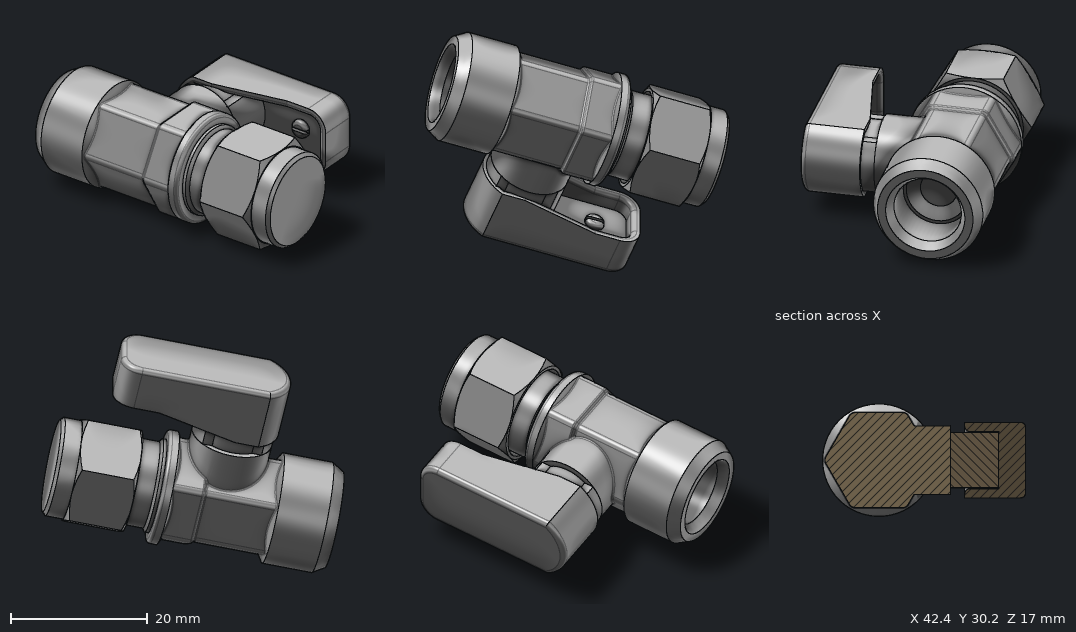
import cadquery as cq
import math


MARGIN = 0.005

collar_radius = 8.25
collar_face_radius = 7.2
collar_chamfer_length = 1.8
collar_end = 9.2
collar_cone_length = 0.8
small_hex_flats = 14.0
large_hex_flats = 15.0
small_hex_corner_radius = 1.0
large_hex_corner_radius = 1.1
hex_step_start = 20.05
hex_step_length = 0.42
hex_step_fillet = 0.3
flange_radius = 8.495
flange_start = 25.0
flange_cone_length = 0.55
flange_round = 0.5
body_end = 26.52
root_fillet = 0.25
cone_root_fillet = 0.2

bore_mouth_radius = 5.97
bore_mouth_depth = 1.53
bore_radius = 5.1
bore_depth = 7.35
seat_radius = 4.6
seat_floor_radius = 2.75
seat_cone_length = 1.1

stem_x = 17.55
boss_radius = 6.0
boss_top = 10.5
stop_radius = 5.05
stop_ear_half_width = 4.05

handle_top = 21.52
handle_half_width = 5.55
handle_hub_radius = 6.55
handle_hub_bottom = 12.55
handle_tip_bottom = 15.0
handle_slope_end = 29.45
handle_tip_x = 36.45
handle_corner_radius = 3.18
handle_top_round = 0.75
handle_wall = 1.25
handle_rim_round = 0.7
handle_floor = 17.6

screw_x = 30.15
screw_head_radius = 1.5
screw_head_height = 0.85
screw_head_round = 0.65
screw_slot_width = 0.5
screw_slot_depth = 0.65

fitting_shoulder_radius = 7.0
fitting_shoulder_length = 0.5
fitting_cone_length = 0.42
fitting_radius = 6.5
fitting_depth_in_nut = 3.8

nut_start = 30.25
nut_flats = 15.0
nut_hex_end = 39.3
nut_chamfer_angle = 30
nut_end = 42.35
nut_end_radius = 7.37
nut_end_chamfer = 0.5
nut_recess_radius = 7.0
nut_recess_depth = 1.7


def hexagon(flats, x, corner_radius=0):
    """Filled hexagon across the X axis, two flats facing up and down, optionally with round corners."""
    sketch = cq.Sketch().regularPolygon(flats / math.sqrt(3), 6, 30)
    if corner_radius > 0:
        sketch = sketch.vertices().fillet(corner_radius)
    return cq.Workplane("YZ", origin=(x, 0, 0)).placeSketch(sketch)


def turned(points):
    """Solid of revolution about the X axis from (x, radius) points."""
    outline = cq.Workplane("XY").polyline(points).close()
    return outline.revolve(360, (0, 0, 0), (1, 0, 0))


def across_plane(x, y, facing=1):
    """Workplane square to the stem direction, facing along +Y or -Y."""
    return cq.Workplane(cq.Plane(origin=(x, y, 0), xDir=(1, 0, 0), normal=(0, facing, 0)))


def stem_cylinder(radius, bottom, top):
    """Cylinder on the stem axis between two heights along Y."""
    return across_plane(stem_x, bottom).circle(radius).extrude(top - bottom)



def make_hexagons():
    """Small hexagon, sloping step and large hexagon with the step edges rounded."""
    step_end = hex_step_start + hex_step_length
    small = hexagon(small_hex_flats, collar_end, small_hex_corner_radius)
    small = small.extrude(hex_step_start - collar_end)
    large = hexagon(large_hex_flats, step_end, large_hex_corner_radius)
    large = large.extrude(flange_start - step_end)
    ends = [small.faces(">X").wires().val(), large.faces("<X").wires().val()]
    step = cq.Workplane(cq.Solid.makeLoft(ends, True))
    step_box = cq.selectors.BoxSelector(
        (hex_step_start - MARGIN, -large_hex_flats, -large_hex_flats),
        (step_end + MARGIN, large_hex_flats, large_hex_flats),
        boundingbox=True,
    )
    return small.union(step).union(large).edges(step_box).edges("#X").fillet(hex_step_fillet)


def make_collar():
    cone_end = collar_end + collar_cone_length
    return turned([
        (0, 0),
        (0, collar_face_radius),
        (collar_chamfer_length, collar_radius),
        (collar_end, collar_radius),
        (cone_end, small_hex_flats / 2),
        (cone_end, 0),
    ])


def make_flange():
    cone_start = flange_start - flange_cone_length
    flange = turned([
        (cone_start, 0),
        (cone_start, large_hex_flats / 2),
        (flange_start, flange_radius),
        (body_end, flange_radius),
        (body_end, 0),
    ])
    return flange.faces(">X").edges().fillet(flange_round)


def make_inlet_bore():
    floor_x = bore_depth + seat_cone_length
    return turned([
        (0, 0),
        (0, bore_mouth_radius),
        (bore_mouth_depth, bore_radius),
        (bore_depth, bore_radius),
        (bore_depth, seat_radius),
        (floor_x, seat_floor_radius),
        (floor_x, 0),
    ])


def is_cone_root(edge):
    """True for an edge where the collar cone or the flange cone cuts a hexagon flat."""
    return edge.geomType() == "HYPERBOLA"


def is_boss_root(edge):
    """True for an edge on the boss wall, below the top of the boss."""
    points = edge.positions([0, 0.25, 0.5, 0.75, 1])
    on_wall = all(abs(math.hypot(p.x - stem_x, p.z) - boss_radius) < MARGIN for p in points)
    below_top = all(p.y < boss_top - root_fillet for p in points)
    return on_wall and below_top and edge.geomType() != "LINE"


def make_body():
    solid = make_collar().union(make_hexagons()).union(make_flange())
    solid = solid.edges().filter(is_cone_root).fillet(cone_root_fillet)
    solid = solid.union(stem_cylinder(boss_radius, 0, boss_top))
    solid = solid.edges().filter(is_boss_root).fillet(root_fillet)
    return solid.cut(make_inlet_bore())



def make_stop_collar():
    """Round core with two ears that stop the handle, reaching from the boss to the handle floor."""
    ear_slab = cq.Workplane("XZ").box(2 * handle_tip_x, 2 * stop_ear_half_width, 2 * handle_top)
    ears = stem_cylinder(boss_radius, boss_top, handle_floor).intersect(ear_slab)
    return stem_cylinder(stop_radius, boss_top, handle_floor).union(ears)



def handle_block(inset, top):
    """Lever outline moved inwards by inset and raised from y = 0, round at the hub end."""
    half_width = handle_half_width - inset
    hub_radius = handle_hub_radius - inset
    tip_x = handle_tip_x - inset
    arc_end_x = stem_x - math.sqrt(hub_radius**2 - half_width**2)
    block = (
        across_plane(0, 0)
        .moveTo(arc_end_x, -half_width)
        .threePointArc((stem_x - hub_radius, 0), (arc_end_x, half_width))
        .lineTo(tip_x, half_width)
        .lineTo(tip_x, -half_width)
        .close()
        .extrude(top)
    )
    return block.edges("|Y and >X").fillet(handle_corner_radius - inset)


def make_handle_underside():
    """Space below the handle: level at the hub, then sloping up to the thinner tip."""
    return (
        cq.Workplane("XY")
        .polyline([
            (0, 0),
            (0, handle_hub_bottom),
            (stem_x, handle_hub_bottom),
            (handle_slope_end, handle_tip_bottom),
            (handle_tip_x, handle_tip_bottom),
            (handle_tip_x, 0),
        ])
        .close()
        .extrude(handle_half_width, both=True)
    )


def make_handle(stop_collar):
    lever = handle_block(0, handle_top).faces(">Y").edges().fillet(handle_top_round)
    shell = lever.cut(make_handle_underside()).cut(handle_block(handle_wall, handle_floor))
    rim_half_width = handle_half_width - handle_wall + MARGIN
    rim_box = cq.selectors.BoxSelector(
        (stem_x - handle_hub_radius, handle_hub_bottom - MARGIN, -rim_half_width),
        (handle_tip_x - handle_wall + MARGIN, handle_tip_bottom + MARGIN, rim_half_width),
        boundingbox=True,
    )
    return shell.edges(rim_box).fillet(handle_rim_round).cut(stop_collar)



def make_screw():
    head = across_plane(screw_x, handle_floor, -1).circle(screw_head_radius).extrude(screw_head_height)
    head = head.faces("<Y").edges().fillet(screw_head_round)
    slot = across_plane(screw_x, handle_floor - screw_head_height)
    slot = slot.rect(2 * screw_head_radius, screw_slot_width).extrude(screw_slot_depth)
    return head.cut(slot)



def make_fitting():
    shoulder_end = body_end + fitting_shoulder_length
    inner_end = nut_start + fitting_depth_in_nut
    return turned([
        (body_end, 0),
        (body_end, fitting_shoulder_radius),
        (shoulder_end, fitting_shoulder_radius),
        (shoulder_end + fitting_cone_length, fitting_radius),
        (inner_end, fitting_radius),
        (inner_end, 0),
    ])



def make_nut(fitting):
    """Hexagon with both ends chamfered, a round end and a recess around the fitting."""
    flat_radius = nut_flats / 2
    corner_radius = nut_flats / math.sqrt(3)
    chamfer_length = (corner_radius - flat_radius) * math.tan(math.radians(nut_chamfer_angle))
    chamfered_bar = turned([
        (nut_start, 0),
        (nut_start, flat_radius),
        (nut_start + chamfer_length, corner_radius),
        (nut_hex_end - chamfer_length, corner_radius),
        (nut_hex_end, flat_radius),
        (nut_hex_end, 0),
    ])
    hex_part = hexagon(nut_flats, nut_start).extrude(nut_hex_end - nut_start).intersect(chamfered_bar)
    round_end = cq.Workplane("YZ", origin=(nut_hex_end, 0, 0)).circle(nut_end_radius)
    round_end = round_end.extrude(nut_end - nut_hex_end).faces(">X").chamfer(nut_end_chamfer)
    recess = cq.Workplane("YZ", origin=(nut_start, 0, 0)).circle(nut_recess_radius)
    recess = recess.extrude(nut_recess_depth)
    return hex_part.union(round_end).cut(recess).cut(fitting)


body = make_body()
stop_collar = make_stop_collar()
handle = make_handle(stop_collar)
screw = make_screw()
fitting = make_fitting()
nut = make_nut(fitting)

result = cq.Compound.makeCompound([
    body.val(),
    stop_collar.val(),
    handle.val(),
    screw.val(),
    fitting.val(),
    nut.val(),
])